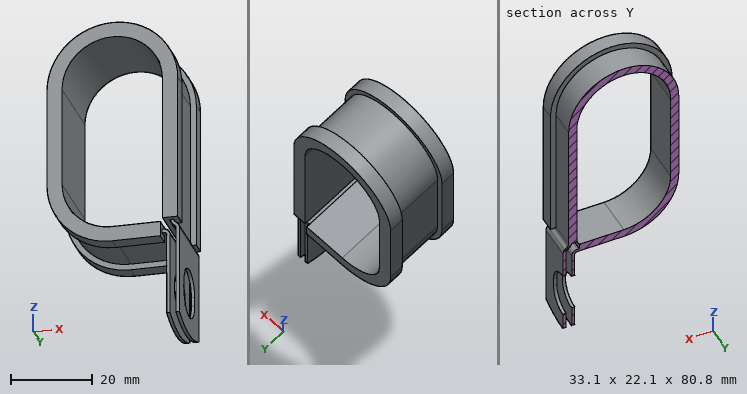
import cadquery as cq
import math


bore_radius = 12.7
bore_spacing = 2 * bore_radius
cushion_thickness = 3.85
cushion_width = 22.1
groove_width = 13.9
groove_depth = 1.5
bottom_leg_length = 12.15
side_leg_end_z = -11.8

band_thickness = 0.88
band_width = 19.05
bend_inner_radius = 0.7
tab_gap = 1.5
side_tab_overhang = 0.04
jog_angle = math.radians(45)
jog_top_z = -11.65
tab_tip_z = -38.87
tip_rise = 2.17
bolt_hole_diameter = 10.3
side_tab_hole_length = 12.6
hole_above_tip = 11.1

quarter_turn = math.pi / 2
lower_left = math.radians(225)
outer_radius = bore_radius + cushion_thickness
band_outer_radius = outer_radius - groove_depth
band_inner_radius = band_outer_radius - band_thickness
bend_outer_radius = bend_inner_radius + band_thickness
side_tab_outer_x = outer_radius + side_tab_overhang
side_tab_inner_x = side_tab_outer_x - band_thickness
lower_tab_outer_x = side_tab_inner_x - tab_gap
lower_tab_inner_x = lower_tab_outer_x - band_thickness


def on_circle(center, radius, angle):
    return (center[0] + radius * math.cos(angle), center[1] + radius * math.sin(angle))


def extrude_across(profile, width):
    """Extrude an XZ profile symmetrically about the mid-width plane."""
    return profile.extrude(width / 2, both=True)


def make_loop(radius, width):
    """Open loop between the bore and an outer surface of the given radius."""
    lower = (0, 0)
    profile = (
        cq.Workplane("XZ")
        .moveTo(radius, side_leg_end_z)
        .lineTo(radius, bore_spacing)
        .threePointArc((0, bore_spacing + radius), (-radius, bore_spacing))
        .lineTo(-radius, 0)
        .threePointArc(on_circle(lower, radius, lower_left), (0, -radius))
        .lineTo(bottom_leg_length, -radius)
        .lineTo(bottom_leg_length, -bore_radius)
        .lineTo(0, -bore_radius)
        .threePointArc(on_circle(lower, bore_radius, lower_left), (-bore_radius, 0))
        .lineTo(-bore_radius, bore_spacing)
        .threePointArc((0, bore_spacing + bore_radius), (bore_radius, bore_spacing))
        .lineTo(bore_radius, side_leg_end_z)
        .close()
    )
    return extrude_across(profile, width)


def make_cushion():
    core = make_loop(band_outer_radius, cushion_width)
    rim_width = (cushion_width - groove_width) / 2
    rim_offset = (cushion_width - rim_width) / 2
    for side in (-1, 1):
        rim = make_loop(outer_radius, rim_width).translate((0, side * rim_offset, 0))
        core = core.union(rim)
    return core


def make_lower_tab():
    """Band leaving the lower leg and turning straight down."""
    center = (lower_tab_inner_x - bend_inner_radius, -band_outer_radius - bend_inner_radius)
    middle = quarter_turn / 2
    profile = (
        cq.Workplane("XZ")
        .moveTo(bottom_leg_length, -band_inner_radius)
        .lineTo(center[0], -band_inner_radius)
        .threePointArc(on_circle(center, bend_outer_radius, middle), (lower_tab_outer_x, center[1]))
        .lineTo(lower_tab_outer_x, tab_tip_z)
        .lineTo(lower_tab_inner_x, tab_tip_z)
        .lineTo(lower_tab_inner_x, center[1])
        .threePointArc(on_circle(center, bend_inner_radius, middle), (center[0], -band_outer_radius))
        .lineTo(bottom_leg_length, -band_outer_radius)
        .close()
    )
    return extrude_across(profile, band_width)


def make_side_tab():
    """Band leaving the side leg through an outward jog, then running straight down."""
    bend_radii = bend_inner_radius + bend_outer_radius
    jog_offset = side_tab_outer_x - band_outer_radius
    slope_run = jog_offset - bend_radii * (1 - math.cos(jog_angle))
    jog_height = bend_radii * math.sin(jog_angle) + slope_run / math.tan(jog_angle)
    upper = (band_outer_radius + bend_inner_radius, jog_top_z)
    lower = (side_tab_inner_x - bend_inner_radius, jog_top_z - jog_height)
    upper_end = math.pi + jog_angle
    upper_middle = math.pi + jog_angle / 2
    profile = (
        cq.Workplane("XZ")
        .moveTo(band_outer_radius, jog_top_z)
        .threePointArc(
            on_circle(upper, bend_inner_radius, upper_middle),
            on_circle(upper, bend_inner_radius, upper_end),
        )
        .lineTo(*on_circle(lower, bend_outer_radius, jog_angle))
        .threePointArc(
            on_circle(lower, bend_outer_radius, jog_angle / 2),
            (side_tab_outer_x, lower[1]),
        )
        .lineTo(side_tab_outer_x, tab_tip_z)
        .lineTo(side_tab_inner_x, tab_tip_z)
        .lineTo(side_tab_inner_x, lower[1])
        .threePointArc(
            on_circle(lower, bend_inner_radius, jog_angle / 2),
            on_circle(lower, bend_inner_radius, jog_angle),
        )
        .lineTo(*on_circle(upper, bend_outer_radius, upper_end))
        .threePointArc(
            on_circle(upper, bend_outer_radius, upper_middle),
            (band_inner_radius, jog_top_z),
        )
        .close()
    )
    return extrude_across(profile, band_width)


def make_tab_envelope(hole_length):
    """Tab shape in the YZ plane, with rounded tip and bolt hole, spanning both tabs along X."""
    half_width = band_width / 2
    envelope = (
        cq.Workplane("YZ")
        .moveTo(-half_width, 0)
        .lineTo(-half_width, tab_tip_z + tip_rise)
        .threePointArc((0, tab_tip_z), (half_width, tab_tip_z + tip_rise))
        .lineTo(half_width, 0)
        .close()
        .extrude(side_tab_outer_x)
    )
    hole_plane = cq.Workplane("YZ").center(0, tab_tip_z + hole_above_tip)
    if hole_length > bolt_hole_diameter:
        hole_outline = hole_plane.slot2D(hole_length, bolt_hole_diameter, angle=90)
    else:
        hole_outline = hole_plane.circle(bolt_hole_diameter / 2)
    bolt_hole = hole_outline.extrude(side_tab_outer_x)
    return envelope.cut(bolt_hole)


lower_tab = make_lower_tab().intersect(make_tab_envelope(bolt_hole_diameter))
side_tab = make_side_tab().intersect(make_tab_envelope(side_tab_hole_length))
result = make_cushion().union(lower_tab).union(side_tab)